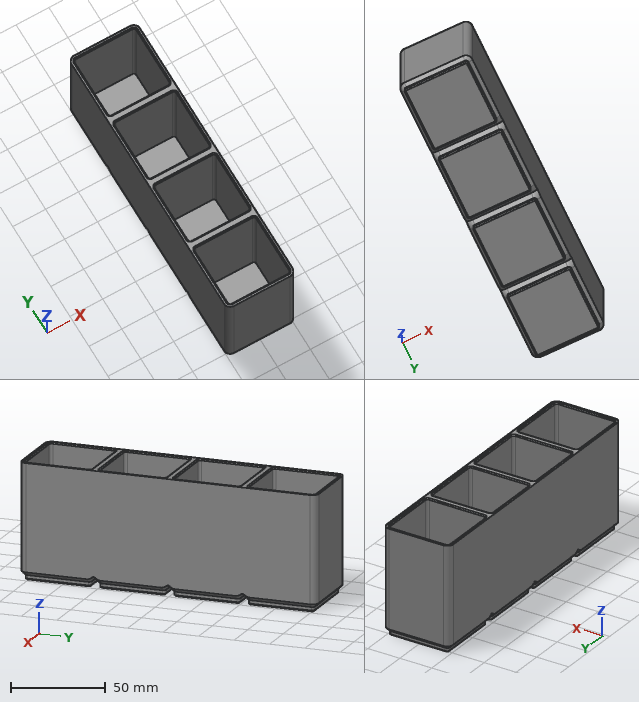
import cadquery as cq
import math

width = 41.5
length = 167.5
height = 65.0
corner_radius = 3.7

cell_count = 4
pitch = (length - width) / (cell_count - 1)
cell_gap = pitch - width
cell_positions = [(i - (cell_count - 1) / 2) * pitch for i in range(cell_count)]

bevel_angle = 45
toe_height = 0.8
band_height = 1.8
flare_height = 2.2
flare_base = toe_height + band_height
band_width = width - 2 * flare_height
band_radius = corner_radius - flare_height

notch_reach = math.hypot(corner_radius, corner_radius + cell_gap / 2)
notch_top = flare_base + notch_reach - band_radius
merge_overlap = 0.8

rim_wall = 1.3
rim_bevel = 0.7
floor_thickness = 0.5
floor_height = notch_top + floor_thickness
pocket_width = width - 2 * (rim_wall + rim_bevel)
pocket_radius = 1.5


def rounded_prism(size_x, size_y, radius, bottom, top):
    """Upright block with rounded vertical edges, centred on the Z axis."""
    block = cq.Workplane("XY").workplane(offset=bottom).rect(size_x, size_y).extrude(top - bottom)
    return block.edges("|Z").fillet(radius)


def flare_from_top(prism, flare_size):
    """Extend a prism upward with sides that spread outward at the bevel angle."""
    outline = prism.faces(">Z").wires().toPending().workplane()
    return prism.union(outline.extrude(flare_size, combine=False, taper=-bevel_angle))


def make_foot():
    """One foot, its flare carried past the notch so that neighbouring feet merge."""
    foot = rounded_prism(band_width, band_width, band_radius, 0, flare_base)
    foot = foot.faces("<Z").edges().chamfer(toe_height)
    return flare_from_top(foot, notch_top - flare_base + merge_overlap)


def make_pocket():
    """Space of one compartment, widening at the rim."""
    pocket = rounded_prism(pocket_width, pocket_width, pocket_radius, floor_height, height - rim_bevel)
    return flare_from_top(pocket, rim_bevel)


def repeat_in_cells(shape):
    """Copies of a shape in every cell, joined together."""
    row = cq.Workplane("XY")
    for y in cell_positions:
        row = row.union(shape.translate((0, y, 0)))
    return row


envelope = rounded_prism(width, length, corner_radius, 0, height)
upper_body = rounded_prism(width, length, corner_radius, notch_top, height)
base = repeat_in_cells(make_foot()).intersect(envelope)
pockets = repeat_in_cells(make_pocket())

result = upper_body.union(base).cut(pockets)